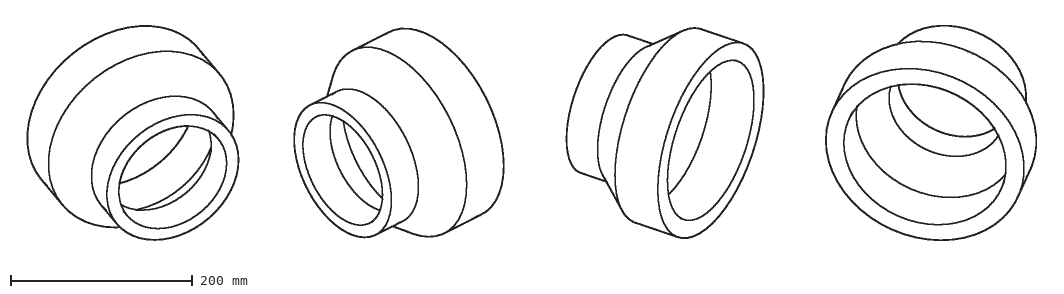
import cadquery as cq

large_outer_diameter = 225.0
large_bore_diameter = 184.0
small_outer_diameter = 160.0
small_bore_diameter = 130.8

large_end_length = 55.0
taper_length = 42.0
small_end_length = 40.0

taper_start = large_end_length
taper_end = taper_start + taper_length
total_length = taper_end + small_end_length


def stepped_cone(large_diameter, small_diameter):
    """Solid of revolution: large cylinder, conical taper, small cylinder."""
    large_radius = large_diameter / 2
    small_radius = small_diameter / 2
    half_profile = (
        cq.Workplane("XY")
        .moveTo(0, 0)
        .lineTo(0, large_radius)
        .lineTo(taper_start, large_radius)
        .lineTo(taper_end, small_radius)
        .lineTo(total_length, small_radius)
        .lineTo(total_length, 0)
        .close()
    )
    return half_profile.revolve(360, (0, 0, 0), (1, 0, 0))


body = stepped_cone(large_outer_diameter, small_outer_diameter)
bore = stepped_cone(large_bore_diameter, small_bore_diameter)

result = body.cut(bore)